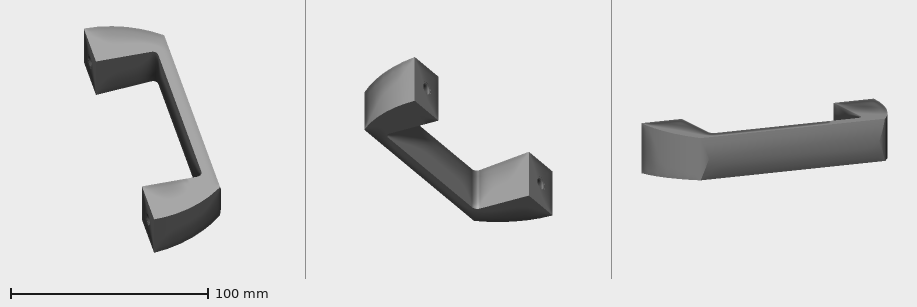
import cadquery as cq
import math

length = 133.0
height = 40.0
foot_thickness = 26.0
draft_angle = 3.0

leg_width = 23.0
grip_underside = 32.0
inner_radius = 2.9
end_arc_radius = 61.3
shoulder_radius = 6.0

crown_edge_height = 38.6

hole_spacing = 110.0
hole_diameter = 4.9
hole_depth = 12.0
drill_point_angle = 118.0
countersink_diameter = 6.0
rim_diameter = 7.5
rim_depth = 0.1


def half_thickness(y):
    """Half of the tapered thickness at distance y from the feet."""
    return foot_thickness / 2 - y * math.tan(math.radians(draft_angle))


def end_arc_x(y):
    """Half length of the handle on the curved end at distance y from the feet."""
    return length / 2 - end_arc_radius + math.sqrt(end_arc_radius**2 - y**2)


def make_profile():
    """Bow-shaped side profile, extruded to the thickness of the feet."""
    half_length = length / 2
    opening = half_length - leg_width
    top_x = end_arc_x(height)
    mid_x = end_arc_x(height / 2)
    bow = (
        cq.Workplane("XY")
        .moveTo(-half_length, 0)
        .threePointArc((-mid_x, height / 2), (-top_x, height))
        .lineTo(top_x, height)
        .threePointArc((mid_x, height / 2), (half_length, 0))
        .lineTo(opening, 0)
        .lineTo(opening, grip_underside)
        .lineTo(-opening, grip_underside)
        .lineTo(-opening, 0)
        .close()
        .extrude(foot_thickness / 2, both=True)
    )
    inner_corners = [(x, grip_underside, 0) for x in (-opening, opening)]
    outer_corners = [(x, height, 0) for x in (-top_x, top_x)]
    for corners, radius in ((inner_corners, inner_radius), (outer_corners, shoulder_radius)):
        for corner in corners:
            bow = bow.edges(cq.selectors.NearestToPointSelector(corner)).fillet(radius)
    return bow


def make_envelope():
    """Tapered cross-section with a crowned outer face, along the full length."""
    foot_z = half_thickness(0)
    crown_z = half_thickness(crown_edge_height)
    return (
        cq.Workplane("YZ")
        .moveTo(0, -foot_z)
        .lineTo(crown_edge_height, -crown_z)
        .threePointArc((height, 0), (crown_edge_height, crown_z))
        .lineTo(0, foot_z)
        .close()
        .extrude(length / 2, both=True)
    )


def make_hole(x):
    """Blind hole with a shallow round recess, a 45 degree countersink and a drill point."""
    hole_radius = hole_diameter / 2
    point_depth = hole_radius / math.tan(math.radians(drill_point_angle / 2))
    countersink_bottom = rim_depth + (countersink_diameter - hole_diameter) / 2
    return (
        cq.Workplane("XY")
        .moveTo(0, 0)
        .lineTo(rim_diameter / 2, 0)
        .lineTo(rim_diameter / 2, rim_depth)
        .lineTo(countersink_diameter / 2, rim_depth)
        .lineTo(hole_radius, countersink_bottom)
        .lineTo(hole_radius, hole_depth)
        .lineTo(0, hole_depth + point_depth)
        .close()
        .revolve(360, (0, 0), (0, 1))
        .translate((x, 0, 0))
    )


result = make_profile().intersect(make_envelope())
for hole_x in (-hole_spacing / 2, hole_spacing / 2):
    result = result.cut(make_hole(hole_x))
result = result.translate((0, -height / 2, 0))